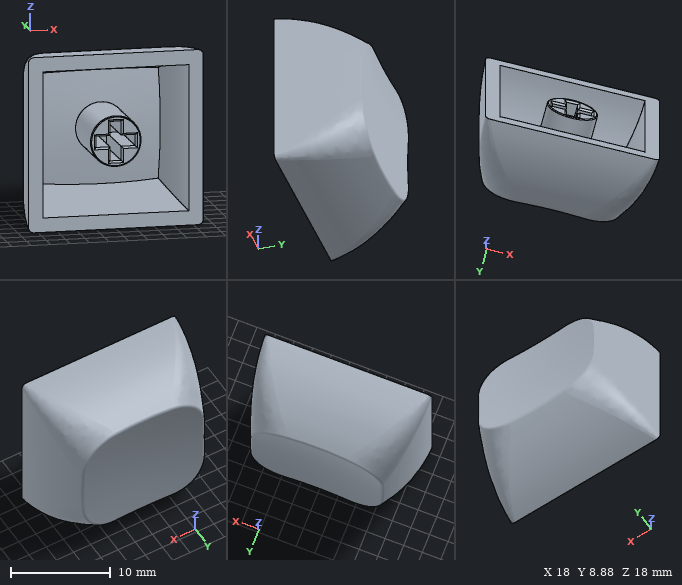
import cadquery as cq
import math

BASE_SIZE = 18.0
WALL = 1.5
WALL_BULGE_X = 21.3
WALL_BULGE_Z = 17.6
BLANK_HEIGHT = 9.5
DISH_RADIUS = 45.0
DISH_LOW_POINT = 8.18

CORNER_RADIUS_BASE = 0.55
CORNER_RADIUS_TOP = 4.2
CORNER_STEPS = 8
RIM_RADIUS = 0.3

STEM_DIAMETER = 5.2
STEM_CHAMFER = 0.1
CROSS_LENGTH = 4.05
CROSS_WIDTH = 1.15
CROSS_CHAMFER = 0.2

Y_AXIS = ((0, 0, 0), (0, 1, 0))


def arched_prism(size, bulge_radius):
    """Prism along Z whose two X sides are arcs that stand upright at Y = 0."""

    def side_x(y):
        return size / 2 - bulge_radius + math.sqrt(bulge_radius**2 - y**2)

    middle_height = BLANK_HEIGHT / 2
    base_x = size / 2
    middle_x = side_x(middle_height)
    top_x = side_x(BLANK_HEIGHT)
    return (
        cq.Workplane("XY")
        .moveTo(-base_x, 0)
        .lineTo(base_x, 0)
        .threePointArc((middle_x, middle_height), (top_x, BLANK_HEIGHT))
        .lineTo(-top_x, BLANK_HEIGHT)
        .threePointArc((-middle_x, middle_height), (-base_x, 0))
        .close()
        .extrude(size / 2, both=True)
    )


def dished_block(inset):
    """Block with four bulging walls and a dished top, all moved inwards by the inset."""
    size = BASE_SIZE - 2 * inset
    x_walls = arched_prism(size, WALL_BULGE_X - inset)
    z_walls = arched_prism(size, WALL_BULGE_Z - inset).rotate(*Y_AXIS, 90)
    dish = cq.Workplane("XY").sphere(DISH_RADIUS + inset)
    dish = dish.translate((0, DISH_LOW_POINT + DISH_RADIUS, 0))
    return x_walls.intersect(z_walls).cut(dish)


def round_upright_corners(block):
    """Fillet the four upright corners with a radius that grows evenly from base to top.

    CadQuery's own fillet has one radius per edge, so the kernel's fillet builder is used.
    """
    kernel = cq.occ_impl.shapes
    builder = kernel.BRepFilletAPI_MakeFillet(block.val().wrapped)
    uprights = [edge for edge in block.edges().vals() if edge.BoundingBox().ylen > DISH_LOW_POINT]
    for edge in uprights:
        first, last = CORNER_RADIUS_BASE, CORNER_RADIUS_TOP
        if edge.startPoint().y > edge.endPoint().y:
            first, last = last, first
        radii = kernel.TColgp_HArray1OfPnt2d(0, CORNER_STEPS)
        for step in range(CORNER_STEPS + 1):
            place = step / CORNER_STEPS
            radii.SetValue(step, kernel.gp_Pnt2d(place, first + (last - first) * place))
        builder.Add(radii, edge.wrapped)
    return cq.Workplane(obj=cq.Shape.cast(builder.Shape()))


def outer_body():
    body = round_upright_corners(dished_block(0))
    return body.faces(">Y").edges().fillet(RIM_RADIUS)


def cross_socket():
    """Cross-shaped cutter with a chamfered mouth at the base plane."""
    mouth_length = CROSS_LENGTH + 2 * CROSS_CHAMFER
    mouth_width = CROSS_WIDTH + 2 * CROSS_CHAMFER
    slot = cq.Workplane("XZ").rect(CROSS_LENGTH, CROSS_WIDTH).extrude(-DISH_LOW_POINT)
    mouth = (
        cq.Workplane("XZ")
        .rect(mouth_length, mouth_width)
        .workplane(offset=-CROSS_CHAMFER)
        .rect(CROSS_LENGTH, CROSS_WIDTH)
        .loft()
    )
    arm = slot.union(mouth)
    return arm.union(arm.rotate(*Y_AXIS, 90))


def stem():
    post = cq.Workplane("XZ").circle(STEM_DIAMETER / 2).extrude(-DISH_LOW_POINT)
    return post.faces("<Y").chamfer(STEM_CHAMFER).cut(cross_socket())


cavity = dished_block(WALL)
shell = outer_body().cut(cavity)
result = shell.union(stem().intersect(cavity)).solids()